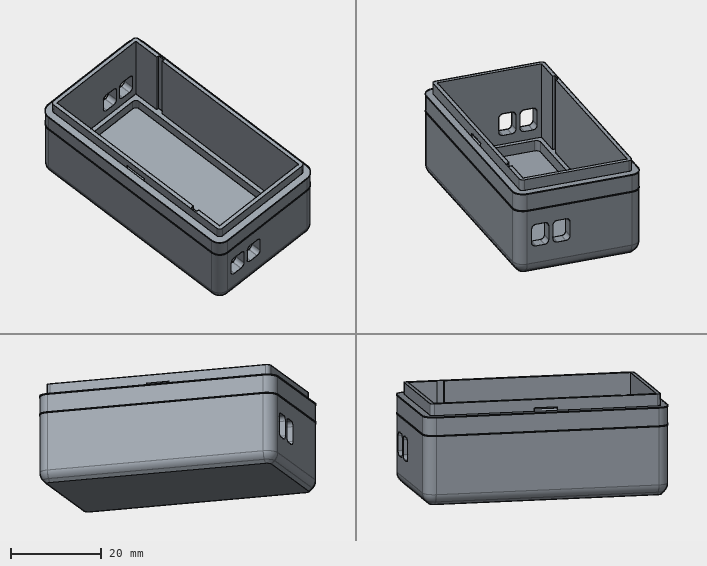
import cadquery as cq
import math

length = 55.6
width = 30.1
height = 22.6

rim_depth = 0.085
corner_radius = 2.5
bevel_angle = 45.0
ledge_height = 19.95

rim_height = 0.2
band_rim_base = 15.55

lip_inset = 1.6
lip_radius = corner_radius - lip_inset

wall = 2.55
floor_height = 4.45
pocket_margin = 1.05
pocket_radius = 1.0
pocket_floor = 1.95

key_offset = 17.85
key_width = 1.6
key_depth = 0.55

snap_length = 5.2
snap_height = 0.8
snap_depth = 0.5

hole_width = 4.05
hole_height = 5.35
hole_radius = 1.0
hole_base = 6.6
hole_offsets = (4.3, 9.35)

body_length = length - 2 * rim_depth
body_width = width - 2 * rim_depth
lip_length = body_length - 2 * lip_inset
lip_width = body_width - 2 * lip_inset
cavity_length = body_length - 2 * wall
cavity_width = body_width - 2 * wall


def rounded_block(size_x, size_y, radius, bottom, top):
    """Centred block with rounded vertical edges between two heights."""
    return (
        cq.Workplane("XY", origin=(0, 0, bottom))
        .rect(size_x, size_y)
        .extrude(top - bottom)
        .edges("|Z")
        .fillet(radius)
    )


def outer_shell():
    """Solid body whose rounded bottom edge runs out into a 45 degree bevel."""
    slope = math.radians(bevel_angle)
    bevel_height = corner_radius * (1 - math.cos(slope))
    bevel_inset = bevel_height + bevel_height / math.tan(slope)

    rounded = (
        cq.Workplane("XY")
        .rect(body_length, body_width)
        .extrude(ledge_height)
        .edges("|Z or <Z")
        .fillet(corner_radius)
    )
    base = (
        cq.Workplane("XY")
        .sketch()
        .rect(body_length - 2 * bevel_inset, body_width - 2 * bevel_inset)
        .vertices()
        .fillet(corner_radius - bevel_inset)
        .finalize()
        .extrude(bevel_height, taper=-bevel_angle)
    )
    return rounded.union(base)


def rim(bottom):
    """Thin raised rim all the way around the shell."""
    return rounded_block(length, width, corner_radius + rim_depth, bottom, bottom + rim_height)


def cavity():
    """Square-cornered cavity with a smaller rounded pocket in its floor."""
    chamber = (
        cq.Workplane("XY", origin=(0, 0, floor_height))
        .rect(cavity_length, cavity_width)
        .extrude(height - floor_height)
    )
    pocket = rounded_block(
        cavity_length - 2 * pocket_margin,
        cavity_width - 2 * pocket_margin,
        pocket_radius,
        pocket_floor,
        height,
    )
    return chamber.union(pocket)


def key_slot():
    """Vertical slot in the +Y cavity wall, from the floor to the top."""
    return (
        cq.Workplane("XY", origin=(-key_offset, cavity_width / 2, floor_height))
        .rect(key_width, 2 * key_depth)
        .extrude(height - floor_height)
    )


def snap_groove():
    """V-shaped groove along the +Y face of the lip, just above the ledge."""
    face = lip_width / 2
    return (
        cq.Workplane("YZ", origin=(-snap_length / 2, 0, ledge_height))
        .moveTo(face, 0)
        .lineTo(face - snap_depth, snap_height / 2)
        .lineTo(face, snap_height)
        .close()
        .extrude(snap_length)
    )


def cable_hole(offset):
    """Rounded rectangular hole through the -X wall."""
    return (
        cq.Workplane("YZ", origin=(-length / 2, offset, hole_base + hole_height / 2))
        .rect(hole_width, hole_height)
        .extrude(wall + rim_depth)
        .edges("|X")
        .fillet(hole_radius)
    )


result = outer_shell()
for rim_base in (band_rim_base, ledge_height - rim_height):
    result = result.union(rim(rim_base))
result = result.union(rounded_block(lip_length, lip_width, lip_radius, ledge_height, height))

result = result.cut(cavity())
details = [key_slot(), snap_groove()] + [cable_hole(offset) for offset in hole_offsets]
for detail in details:
    for turn in (0, 180):
        result = result.cut(detail.rotate((0, 0, 0), (0, 0, 1), turn))